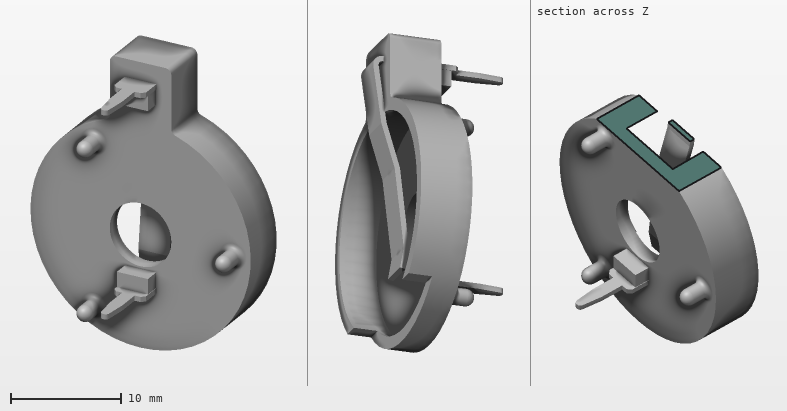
import cadquery as cq
import math


disc_diameter = 22.7
disc_radius = disc_diameter / 2
body_depth = 4.95
total_height = 28.7
tab_top = total_height - disc_radius
tab_width = 6.35
tab_round = 0.6
hole_diameter = 6.35

floor_thickness = 1.38
rim_thickness = 1.15
pocket_radius = disc_radius - rim_thickness
low_rim_depth = 2.67
low_rim_height = 3.35

peg_count = 3
peg_circle_radius = 9.53
peg_radius = 0.8
peg_length = 2.53
peg_base_fillet = 0.5

metal_thickness = 0.52
shoulder_width = 3.27
shoulder_length = 2.32
shoulder_chamfer = 0.37
pin_length = 7.05
pin_width = 1.3
pin_straight_end = 4.65
pin_tip_width = 0.75
pin_tip_round = 0.37
upper_pin_drop = 1.85
lower_pin_rise = 5.85
upper_pin_z = tab_top - upper_pin_drop - metal_thickness / 2
lower_pin_z = lower_pin_rise - disc_radius + metal_thickness / 2

block_width = 3.2
block_height = 1.55
block_length = 1.55

spring_width = 3.21
spring_reach = 1.05
spring_root = 0.85
fold_start = 0.15
leg_leans = [math.radians(8), math.radians(17), math.radians(6.5)]
leg_end_heights = [9.0, 4.8, -2.87]
tip_lean = math.radians(10)
tip_height = -4.88


def block_between(width, y_start, y_end, z_start, z_end):
    """Box centred on X, spanning the given Y and Z ranges."""
    return (
        cq.Workplane("XY")
        .box(width, y_end - y_start, z_end - z_start, centered=(True, False, False))
        .translate((0, y_start, z_start))
    )


def disc(radius, y_start, y_end):
    """Cylinder on the disc axis, spanning the given Y range."""
    return cq.Workplane("XZ", origin=(0, y_start, 0)).circle(radius).extrude(y_start - y_end)


def make_body():
    tab = block_between(tab_width, 0, body_depth, 0, tab_top)
    tab = tab.edges("|Y and >Z").fillet(tab_round)
    body = disc(disc_radius, 0, body_depth).union(tab)

    reach = tab_width / 2
    corner_z = math.sqrt(disc_radius**2 - reach**2)
    margin = 0.15
    corners = cq.selectors.BoxSelector(
        (-reach - margin, -margin, corner_z - margin),
        (reach + margin, body_depth + margin, corner_z + margin),
    )
    body = body.edges("|Y").edges(corners).fillet(tab_round)

    low_rim_top = low_rim_height - disc_radius
    rim_cut = block_between(disc_diameter, low_rim_depth, body_depth, -disc_radius, low_rim_top)
    pocket = disc(pocket_radius, floor_thickness, body_depth)
    hole = disc(hole_diameter / 2, 0, body_depth)
    return body.cut(pocket).cut(rim_cut).cut(hole)


def make_peg():
    """Round-ended peg with a flared base, pointing to -Y from the origin."""
    diagonal = math.sqrt(0.5)
    flare_radius = peg_radius + peg_base_fillet
    flare_middle = flare_radius - peg_base_fillet * diagonal
    dome_start = peg_length - peg_radius
    return (
        cq.Workplane("XY")
        .lineTo(flare_radius, 0)
        .threePointArc(
            (flare_middle, -peg_base_fillet * (1 - diagonal)),
            (peg_radius, -peg_base_fillet),
        )
        .lineTo(peg_radius, -dome_start)
        .threePointArc(
            (peg_radius * diagonal, -dome_start - peg_radius * diagonal),
            (0, -peg_length),
        )
        .close()
        .revolve(360, (0, 0), (0, 1))
    )


def make_pin(z_middle):
    """Flat solder pin with a wide shoulder, pointing to -Y."""
    shoulder = block_between(shoulder_width, -shoulder_length, 0, 0, metal_thickness)
    shoulder = shoulder.edges("|Z and <Y").chamfer(shoulder_chamfer)
    blade = (
        cq.Workplane("XY")
        .moveTo(-pin_width / 2, 0)
        .lineTo(-pin_width / 2, -pin_straight_end)
        .lineTo(-pin_tip_width / 2, -pin_length)
        .lineTo(pin_tip_width / 2, -pin_length)
        .lineTo(pin_width / 2, -pin_straight_end)
        .lineTo(pin_width / 2, 0)
        .close()
        .extrude(metal_thickness)
        .edges("|Z and <Y")
        .fillet(pin_tip_round)
    )
    return shoulder.union(blade).translate((0, 0, z_middle - metal_thickness / 2))


def make_spring():
    """Leaf that leaves the back of the tab, folds down and leans into the pocket."""
    fold_y = body_depth + fold_start
    fold_radius = spring_reach - fold_start - metal_thickness / 2
    fold_z = upper_pin_z - fold_radius

    def fold_point(angle):
        return (
            fold_y + fold_radius * math.cos(angle),
            fold_z + fold_radius * math.sin(angle),
        )

    first_lean = leg_leans[0]
    fold_middle = fold_point((math.pi / 2 - first_lean) / 2)
    y, z = fold_point(-first_lean)
    path = (
        cq.Workplane("YZ")
        .moveTo(body_depth - spring_root, upper_pin_z)
        .lineTo(fold_y, upper_pin_z)
        .threePointArc(fold_middle, (y, z))
    )
    for lean, end_z in zip(leg_leans, leg_end_heights):
        y -= (z - end_z) * math.tan(lean)
        z = end_z
        path = path.lineTo(y, z)

    path = path.lineTo(y + (z - tip_height) * math.tan(tip_lean), tip_height)
    return (
        cq.Workplane("XZ", origin=(0, body_depth - spring_root, upper_pin_z))
        .rect(spring_width, metal_thickness)
        .sweep(path, transition="right")
    )


result = make_body()

for index in range(peg_count):
    angle = 2 * math.pi * index / peg_count
    peg_x = peg_circle_radius * math.cos(angle)
    peg_z = peg_circle_radius * math.sin(angle)
    result = result.union(make_peg().translate((peg_x, 0, peg_z)))

for pin_z in (upper_pin_z, lower_pin_z):
    result = result.union(make_pin(pin_z))

upper_block_top = upper_pin_z - metal_thickness / 2
lower_block_bottom = lower_pin_z + metal_thickness / 2
for block_bottom in (upper_block_top - block_height, lower_block_bottom):
    block = block_between(block_width, -block_length, 0, block_bottom, block_bottom + block_height)
    result = result.union(block)

result = result.union(make_spring())